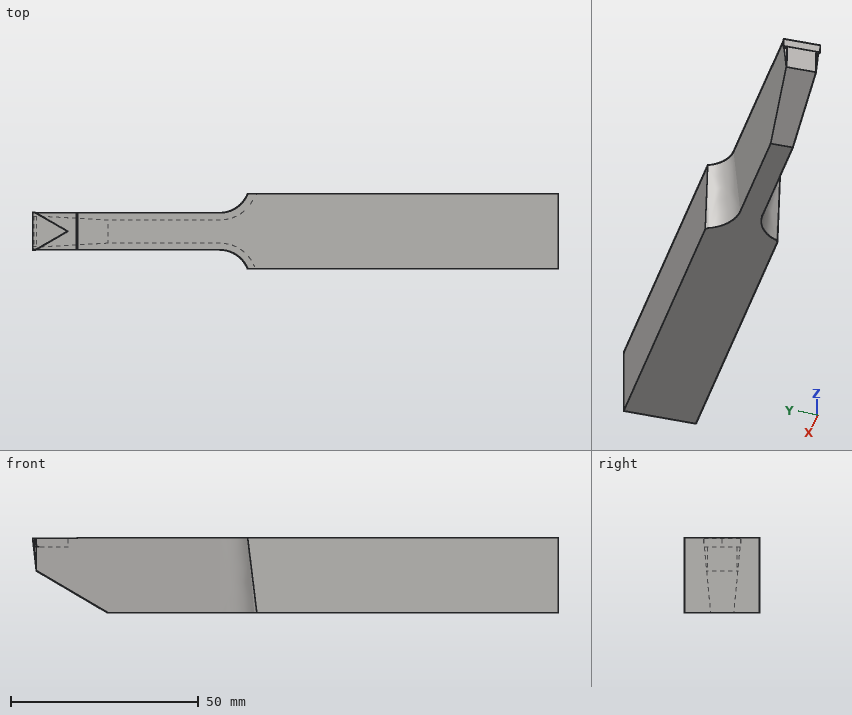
import cadquery as cq
import math

LENGTH = 140.0
SHANK = 20.0
NECK_TOP_WIDTH = 10.0
NECK_BOTTOM_WIDTH = 6.2
RUNOUT_ANGLE = 45.0
SHOULDER_START = 49.8
SHOULDER_TOP_END = 57.3
NOSE_HEIGHT = 8.8
NOSE_SETBACK = 1.0
NOSE_FACE_WIDTH = 8.0
BOTTOM_START = 20.0
SEAT_LENGTH = 11.6
SEAT_DEPTH = 0.1
SEAT_WALL_RUN = 0.4
INSERT_EDGE = 10.8
INSERT_WIDTH = 10.1
INSERT_THICKNESS = 2.2

MARGIN = 7.0
HALF_SHANK = SHANK / 2
NOSE_SLOPE = NOSE_SETBACK / NOSE_HEIGHT


def blank():
    """Square bar with a leaning nose, a ramped underside and a lowered seat."""
    side_outline = [
        (SEAT_DEPTH * NOSE_SLOPE, -SEAT_DEPTH),
        (SEAT_LENGTH, -SEAT_DEPTH),
        (SEAT_LENGTH + SEAT_WALL_RUN, 0),
        (LENGTH, 0),
        (LENGTH, -SHANK),
        (BOTTOM_START, -SHANK),
        (NOSE_SETBACK, -NOSE_HEIGHT),
    ]
    return cq.Workplane("XZ").polyline(side_outline).close().extrude(HALF_SHANK, both=True)


def side_relief_wire(z, neck_width):
    """Outline removed beside the neck at height z.

    The flare arc keeps its centre and angle at every height, is tangent to the neck
    and then runs straight out of the shank side.
    """
    top_depth = (SHANK - NECK_TOP_WIDTH) / 2
    top_flare = SHOULDER_TOP_END - SHOULDER_START
    top_radius = (top_flare**2 + top_depth**2) / (2 * top_depth)
    angle = math.acos(1 - top_depth / top_radius)

    neck_y = neck_width / 2
    center_y = NECK_TOP_WIDTH / 2 + top_radius
    radius = center_y - neck_y

    def arc_point(turn):
        return cq.Vector(SHOULDER_START + radius * math.sin(turn), center_y - radius * math.cos(turn), z)

    start = arc_point(0)
    end = arc_point(angle)
    runout = math.radians(RUNOUT_ANGLE)
    outer_end = end + cq.Vector(math.cos(runout), math.sin(runout), 0) * MARGIN
    outer_front = cq.Vector(-MARGIN, outer_end.y, z)
    inner_front = cq.Vector(-MARGIN, neck_y, z)
    return cq.Wire.assembleEdges([
        cq.Edge.makeLine(inner_front, start),
        cq.Edge.makeThreePointArc(start, arc_point(angle / 2), end),
        cq.Edge.makeLine(end, outer_end),
        cq.Edge.makeLine(outer_end, outer_front),
        cq.Edge.makeLine(outer_front, inner_front),
    ])


def side_relief():
    """Drafted cutter on the +Y side, from the wide top of the neck to its narrow bottom."""
    top = side_relief_wire(0, NECK_TOP_WIDTH)
    bottom = side_relief_wire(-SHANK, NECK_BOTTOM_WIDTH)
    return cq.Workplane(obj=cq.Solid.makeLoft([top, bottom], True))


def nose_corner():
    """Cutter that steps the +Y corner of the nose back beside the nose face."""
    return cq.Workplane("XY").box(NOSE_SETBACK, SHANK, SHANK, centered=False).translate(
        (0, NOSE_FACE_WIDTH / 2, -SHANK)
    )


def make_insert():
    """Triangular insert with blunted front corners, upright sides and a leaning front flank."""
    height = INSERT_EDGE * math.sqrt(3) / 2
    half_width = INSERT_WIDTH / 2
    blunt_length = (INSERT_EDGE / 2 - half_width) * math.sqrt(3)
    prism = (
        cq.Workplane("XY")
        .workplane(offset=-SEAT_DEPTH - INSERT_THICKNESS)
        .polyline([
            (0, -half_width),
            (0, half_width),
            (blunt_length, half_width),
            (height, 0),
            (blunt_length, -half_width),
        ])
        .close()
        .extrude(INSERT_THICKNESS)
    )
    flank = (
        cq.Workplane("XZ")
        .polyline([
            (0, -SEAT_DEPTH),
            (INSERT_THICKNESS * NOSE_SLOPE, -SEAT_DEPTH - INSERT_THICKNESS),
            (0, -SEAT_DEPTH - INSERT_THICKNESS),
        ])
        .close()
        .extrude(INSERT_EDGE, both=True)
    )
    return prism.cut(flank)


def make_holder(insert):
    """Holder with a drafted neck and a pocket matching the insert."""
    holder = blank()
    for cutter in (side_relief(), nose_corner()):
        holder = holder.cut(cutter).cut(cutter.mirror("XZ"))
    return holder.cut(insert)


insert = make_insert()
holder = make_holder(insert)

result = cq.Compound.makeCompound([holder.val(), insert.val()])